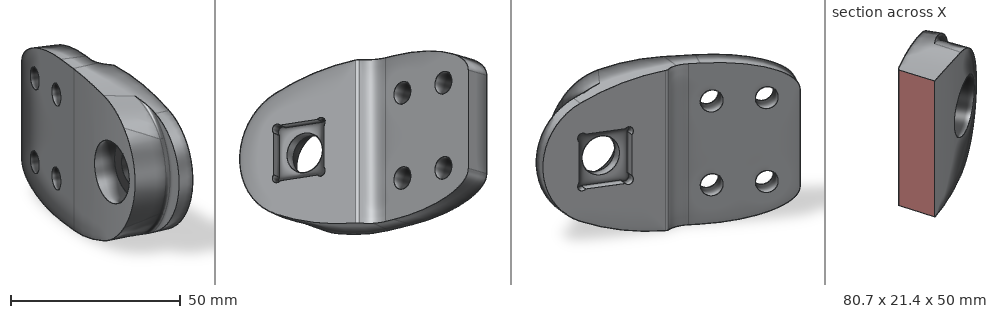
import cadquery as cq
import math

half_width = 25.0
tilt_deg = 13.0
tip_x = 80.68
tip_y = 21.36
flange_thickness = 5.0
plate_thickness = 8.0
bend_x = 40.0
oversize = 200.0

front_arc_radius = 138.0
step_arc_start_x = 33.4
step_arc_radius = 8.0
step_arc_angle_deg = 62.0
step_blend_radius = 1.5

mount_flat_half = 15.0
mount_curve_length = 30.0
mount_hole_diameter = 6.8
mount_hole_columns = (10.0, 26.5)
mount_hole_half_pitch = 13.0

tip_radius = 20.0
side_radius = 80.0
boss_radius = half_width
boss_end_x = 75.45
boss_prism_reach = 20.0
boss_corner_radius = 20.0
flange_root_radius = 1.0

bore_axis_x = 61.56
counterbore_diameter = 19.0
bore_diameter = 12.0
bore_land = 3.6
pocket_depth = 3.5
pocket_side = 17.0
corner_relief_diameter = 3.0

tilt = math.radians(tilt_deg)
along = cq.Vector(math.cos(tilt), math.sin(tilt), 0)
outward = cq.Vector(-math.sin(tilt), math.cos(tilt), 0)
tip_front = cq.Vector(tip_x, tip_y - flange_thickness * math.cos(tilt), 0)
tip_rear = tip_front + outward * flange_thickness


def tilted_plane(origin):
    """Plane square to the arm: local x up the slope, local y along -Z, normal out of the rear face."""
    return cq.Plane(origin=origin.toTuple(), xDir=along.toTuple(), normal=outward.toTuple())


def rear_y(x):
    """Height of the sloping rear face at x."""
    return tip_rear.y + (x - tip_rear.x) * math.tan(tilt)


def underside_y(x):
    """Height of the sloping front face of the flange at x."""
    return tip_front.y + (x - tip_front.x) * math.tan(tilt)


def front_y(x):
    """Height of the curved front face at x."""
    return front_arc_radius - math.sqrt(front_arc_radius ** 2 - (x - bend_x) ** 2)


def side_profile():
    """Full-width bent slab, with the front of the arm still reaching the tip."""
    step_angle = math.radians(step_arc_angle_deg)

    def step_point(angle):
        x = step_arc_start_x + step_arc_radius * math.sin(angle)
        return (x, plate_thickness + step_arc_radius * (1 - math.cos(angle)))

    end_x, end_y = step_point(step_angle)
    run = (rear_y(end_x) - end_y) / (math.tan(step_angle) - math.tan(tilt))
    crest_x = end_x + run
    crest = (crest_x, rear_y(crest_x))
    arc_mid_x = (bend_x + tip_x) / 2
    slab = (
        cq.Workplane("XY")
        .moveTo(0, 0)
        .lineTo(bend_x, 0)
        .threePointArc((arc_mid_x, front_y(arc_mid_x)), (tip_x, front_y(tip_x)))
        .lineTo(tip_front.x, tip_front.y)
        .lineTo(tip_rear.x, tip_rear.y)
        .lineTo(*crest)
        .lineTo(end_x, end_y)
        .threePointArc(step_point(step_angle / 2), (step_arc_start_x, plate_thickness))
        .lineTo(0, plate_thickness)
        .close()
        .extrude(half_width, both=True)
    )
    crest_edge = cq.selectors.NearestToPointSelector((crest[0], crest[1], 0))
    return slab.edges("|Z").edges(crest_edge).fillet(step_blend_radius)


def mount_outline():
    """Prism along Y with elliptical corners at the mounting end."""
    corner_height = half_width - mount_flat_half
    return (
        cq.Workplane("XZ")
        .moveTo(0, -mount_flat_half)
        .lineTo(0, mount_flat_half)
        .ellipseArc(mount_curve_length, corner_height, 90, 180, startAtCurrent=True, sense=-1)
        .lineTo(oversize, half_width)
        .lineTo(oversize, -half_width)
        .lineTo(mount_curve_length, -half_width)
        .ellipseArc(mount_curve_length, corner_height, 180, 270, startAtCurrent=True, sense=-1)
        .close()
        .extrude(oversize, both=True)
    )


def arm_outline():
    """Prism square to the rear face: large side arcs running tangent into the tip arc."""
    side_center = half_width - side_radius
    turn = math.acos(-side_center / (side_radius - tip_radius))
    tip_center = (side_radius - tip_radius) * math.sin(turn)
    length = tip_center + tip_radius
    start = tip_front - along * length

    def side_point(angle):
        return (side_radius * math.sin(angle), side_center + side_radius * math.cos(angle))

    join = side_point(turn)
    middle = side_point(turn / 2)
    return (
        cq.Workplane(tilted_plane(start))
        .moveTo(-oversize, -half_width)
        .lineTo(-oversize, half_width)
        .lineTo(0, half_width)
        .threePointArc(middle, join)
        .threePointArc((length, 0), (join[0], -join[1]))
        .threePointArc((middle[0], -middle[1]), (0, -half_width))
        .close()
        .extrude(oversize, both=True)
    )


def boss_outline():
    """Arm prism ending in the round boss, whose axis is along Y, with blended corners."""
    boss_center_x = boss_end_x - boss_radius
    boss = (
        cq.Workplane("XZ")
        .moveTo(-oversize, -boss_radius)
        .lineTo(-oversize, boss_radius)
        .lineTo(boss_center_x, boss_radius)
        .threePointArc((boss_end_x, 0), (boss_center_x, -boss_radius))
        .close()
        .extrude(boss_prism_reach, both=True)
    )
    prism = arm_outline().intersect(boss)
    near = boss_prism_reach / 2
    corners = cq.selectors.BoxSelector(
        (boss_center_x, -near, -boss_radius), (boss_end_x, near, boss_radius)
    )
    return prism.edges(corners).fillet(boss_corner_radius)


def arm_envelope():
    """Boss outline plus everything behind the front face of the flange, with a filleted root."""
    flange_plane = tilted_plane(tip_front)
    flange_space = cq.Workplane(flange_plane).rect(oversize, oversize).extrude(oversize)
    boss = boss_outline()
    root_end = cq.Vector(boss_end_x, underside_y(boss_end_x), 0)
    joined = flange_space.union(boss)
    root = cq.selectors.NearestToPointSelector(root_end.toTuple())
    return joined.edges(root).fillet(flange_root_radius).intersect(arm_outline())


def mount_holes():
    """Four through holes along Y in the mounting plate."""
    points = [(x, side * mount_hole_half_pitch) for x in mount_hole_columns for side in (-1, 1)]
    return (
        cq.Workplane("XZ")
        .pushPoints(points)
        .circle(mount_hole_diameter / 2)
        .extrude(oversize, both=True)
    )


def stepped_bore():
    """Counterbore from the front, a short bore, and a corner-relieved square pocket from the rear."""
    below_rear = (bore_land + pocket_depth) * math.cos(tilt)
    mouth_x = bore_axis_x + (bore_land + pocket_depth) * outward.x
    floor = cq.Vector(bore_axis_x, rear_y(mouth_x) - below_rear, 0)
    pocket_floor = floor + outward * bore_land
    relief_radius = corner_relief_diameter / 2
    relief_pitch = pocket_side - 2 * relief_radius / math.sqrt(2)
    counterbore = cq.Workplane(tilted_plane(floor)).circle(counterbore_diameter / 2).extrude(-oversize)
    bore = cq.Workplane(tilted_plane(floor)).circle(bore_diameter / 2).extrude(bore_land)
    pocket = (
        cq.Workplane(tilted_plane(pocket_floor))
        .rect(pocket_side, pocket_side)
        .extrude(pocket_depth)
    )
    reliefs = (
        cq.Workplane(tilted_plane(pocket_floor))
        .rect(relief_pitch, relief_pitch, forConstruction=True)
        .vertices()
        .circle(relief_radius)
        .extrude(pocket_depth)
    )
    return counterbore.union(bore).union(pocket).union(reliefs)


body = side_profile().intersect(mount_outline()).intersect(arm_envelope())
result = body.cut(mount_holes()).cut(stepped_bore())